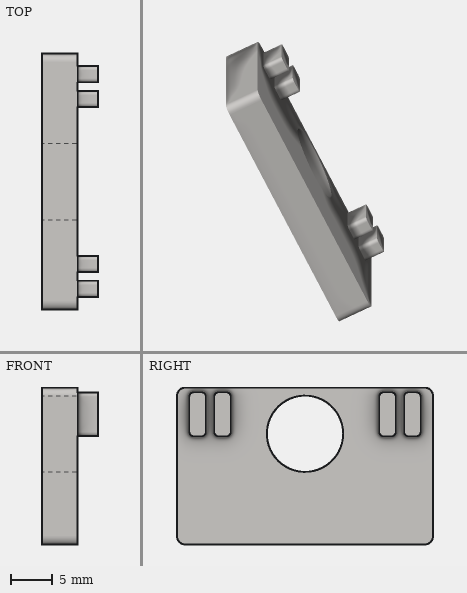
import cadquery as cq

plate_thickness = 4.3
plate_length = 31.0
plate_height = 19.0
plate_corner_radius = 1.02

hole_diameter = 9.2
hole_top_margin = 1.0

overall_depth = 6.8
peg_width = 1.98
peg_height = 5.3
peg_corner_radius = 0.5
peg_pitch = 3.0
peg_side_margin = 1.52
peg_top_margin = 0.6

peg_length = overall_depth - plate_thickness
plate_top = plate_height / 2
hole_z = plate_top - hole_top_margin - hole_diameter / 2
peg_z = plate_top - peg_top_margin - peg_height / 2
outer_peg_y = plate_length / 2 - peg_side_margin - peg_width / 2
inner_peg_y = outer_peg_y - peg_pitch


def rounded_bar(width, height, length, corner_radius):
    """Bar running along +X from X = 0, with its four long edges rounded."""
    bar = cq.Workplane("YZ").rect(width, height).extrude(length)
    return bar.edges("|X").fillet(corner_radius)


def make_plate():
    """Rounded plate with its round through hole."""
    plate = rounded_bar(plate_length, plate_height, plate_thickness, plate_corner_radius)
    hole = cq.Workplane("YZ").center(0, hole_z).circle(hole_diameter / 2).extrude(plate_thickness)
    return plate.cut(hole)


def make_peg(y):
    """Peg standing on the back face of the plate at the given Y."""
    peg = rounded_bar(peg_width, peg_height, peg_length, peg_corner_radius)
    return peg.translate((plate_thickness, y, peg_z))


result = make_plate()
for peg_y in (-outer_peg_y, -inner_peg_y, inner_peg_y, outer_peg_y):
    result = result.union(make_peg(peg_y))